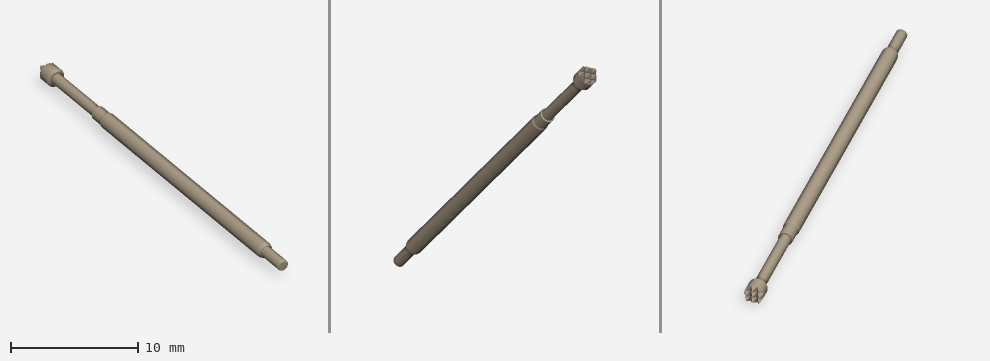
import cadquery as cq


overall_length = 35.81

head_diameter = 1.57
head_rear = 1.38
head_taper_length = 0.18
head_rear_diameter = 1.22
tooth_pitch = 0.54
tooth_height = 0.40
tooth_tip_width = 0.07
teeth_per_row = 3

rod_diameter = 0.95

collar_front = 7.83
collar_diameter = 1.20

barrel_front = 9.11
barrel_rear = 33.23
barrel_diameter = 1.36
front_round_length = 0.17
rear_round_length = 0.46
rear_end_diameter = 1.04

tail_diameter = 0.95
tail_chamfer = 0.10


def make_cylinder(diameter, start, end):
    """Solid cylinder on the X axis between two X positions."""
    return cq.Workplane("YZ", origin=(start, 0, 0)).circle(diameter / 2).extrude(end - start)


def make_head():
    """Round head whose rear end tapers down towards the rod."""
    head_radius = head_diameter / 2
    profile = (
        cq.Workplane("XY")
        .lineTo(0, head_radius)
        .lineTo(head_rear, head_radius)
        .lineTo(head_rear + head_taper_length, head_rear_diameter / 2)
        .lineTo(head_rear + head_taper_length, 0)
        .close()
    )
    return profile.revolve(360, (0, 0, 0), (1, 0, 0))


def make_groove(offset):
    """V groove running along Z, with its valley at Y = offset."""
    half_width = (tooth_pitch - tooth_tip_width) / 2
    profile = (
        cq.Workplane("XY", origin=(0, offset, 0))
        .moveTo(0, -half_width)
        .lineTo(tooth_height, 0)
        .lineTo(0, half_width)
        .close()
    )
    return profile.extrude(head_diameter, both=True)


def cut_teeth(head):
    """Cross two sets of V grooves so that blunt pyramid teeth remain on the front face."""
    for index in range(teeth_per_row + 1):
        groove = make_groove((index - teeth_per_row / 2) * tooth_pitch)
        crossing_groove = groove.rotate((0, 0, 0), (1, 0, 0), 90)
        head = head.cut(groove).cut(crossing_groove)
    return head


def tangent_arc_radius(length, drop):
    """Radius of an arc that leaves a straight side tangentially and drops over a length."""
    return (length**2 + drop**2) / (2 * drop)


def make_barrel():
    """Barrel whose ends curve inwards, to the collar in front and towards the tail behind."""
    radius = barrel_diameter / 2
    front_drop = radius - collar_diameter / 2
    rear_drop = radius - rear_end_diameter / 2
    front_arc_radius = tangent_arc_radius(front_round_length, front_drop)
    rear_arc_radius = tangent_arc_radius(rear_round_length, rear_drop)
    profile = (
        cq.Workplane("XY", origin=(barrel_front, 0, 0))
        .lineTo(0, collar_diameter / 2)
        .radiusArc((front_round_length, radius), front_arc_radius)
        .lineTo(barrel_rear - rear_round_length - barrel_front, radius)
        .radiusArc((barrel_rear - barrel_front, rear_end_diameter / 2), rear_arc_radius)
        .lineTo(barrel_rear - barrel_front, 0)
        .close()
    )
    return profile.revolve(360, (0, 0, 0), (1, 0, 0))


def make_tail():
    """Tail pin with a chamfered free end."""
    tail = make_cylinder(tail_diameter, barrel_rear, overall_length)
    return tail.faces(">X").edges().chamfer(tail_chamfer)


head = cut_teeth(make_head())
rod = make_cylinder(rod_diameter, head_rear, collar_front)
collar = make_cylinder(collar_diameter, collar_front, barrel_front)

result = head.union(rod).union(collar).union(make_barrel()).union(make_tail())